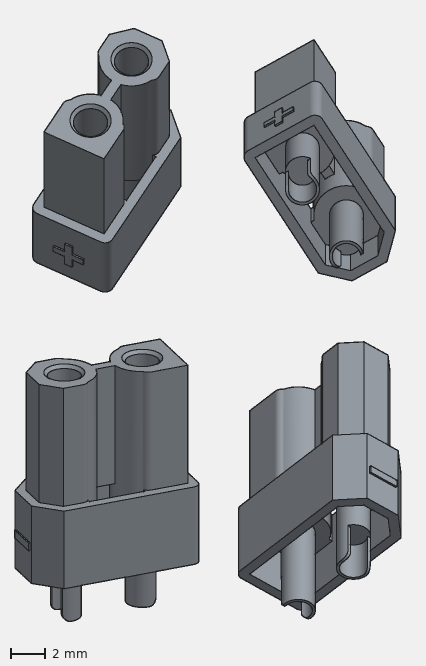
import cadquery as cq
import math

pin_length = 3.01
base_height = 4.99
total_height = 15.6
overall_length = 10.45
base_top = pin_length + base_height
tower_height = total_height - base_top

base_width = 5.25
base_length = 10.25
base_chamfer = 1.44
base_corner_radius = 0.51

tower_width = 4.01
tower_length = 9.05
tower_chamfer = 1.08
socket_spacing = 4.99
lobe_radius = 1.9
shoulder_start = 0.3
shoulder_radius = 0.5
neck_radius = 0.25
web_thickness = 0.64

gap_length = 3.57
lobe_depth = 2.0

socket_diameter = 2.0
socket_mouth_diameter = 2.4
socket_depth = tower_height

pin_diameter = 2.0
cup_diameter = 1.65
collar_height = 0.51
cup_wall_offset = 0.5
cup_corner_radius = 0.5

mark_height = (overall_length - base_length) / 2
mark_length = 2.0
mark_stroke = 0.5
mark_center = pin_length + 2.3

half_width = tower_width / 2
socket_y = socket_spacing / 2


def chamfered_block(width, length, chamfer, height):
    """Block centred on Z whose two +Y corners are cut at 45 degrees."""
    block = cq.Workplane("XY").box(width, length, height, centered=(True, True, False))
    return block.edges("|Z and >Y").chamfer(chamfer)


def point_at(center, radius, angle):
    """Point on a circle, with the angle counted from +X."""
    return (center[0] + radius * math.cos(angle), center[1] + radius * math.sin(angle))


def lobe_edge():
    """Ends and middles of the five arcs that round a lobe, from its +X side to its -X side.

    The socket axis is the origin and the other lobe lies towards +Y.
    """
    shoulder_center = (half_width - shoulder_radius, shoulder_start)
    lobe_to_neck = lobe_radius + neck_radius
    shoulder_to_neck = shoulder_radius + neck_radius
    lobe_to_shoulder = math.hypot(*shoulder_center)
    cosine = lobe_to_neck**2 + lobe_to_shoulder**2 - shoulder_to_neck**2
    cosine /= 2 * lobe_to_neck * lobe_to_shoulder
    neck_angle = math.atan2(shoulder_center[1], shoulder_center[0]) + math.acos(cosine)
    neck_center = point_at((0, 0), lobe_to_neck, neck_angle)
    shoulder_angle = math.atan2(neck_center[1] - shoulder_center[1], neck_center[0] - shoulder_center[0])

    right_half = [
        (half_width, shoulder_start),
        point_at(shoulder_center, shoulder_radius, shoulder_angle / 2),
        point_at(shoulder_center, shoulder_radius, shoulder_angle),
        point_at(neck_center, neck_radius, math.pi + (shoulder_angle + neck_angle) / 2),
        point_at((0, 0), lobe_radius, neck_angle),
    ]
    left_half = [(-x, y) for x, y in reversed(right_half)]
    return right_half + [(0, lobe_radius)] + left_half


def gap_between_lobes(height):
    """Prism of the space between the two lobes, across the full tower width."""
    lobe = lobe_edge()
    lower_edge = [(x, y - socket_y) for x, y in lobe]
    upper_edge = [(-x, -y) for x, y in lower_edge]
    outline = cq.Workplane("XY").moveTo(*upper_edge[-1])
    for edge in (lower_edge, upper_edge):
        outline = outline.lineTo(*edge[0])
        for middle, end in zip(edge[1::2], edge[2::2]):
            outline = outline.threePointArc(middle, end)
    return outline.close().extrude(height)


def make_base():
    block = chamfered_block(base_width, base_length, base_chamfer, base_height)
    block = block.edges("|Z and <Y").fillet(base_corner_radius)
    gap_limits = cq.Workplane("XY").box(
        tower_width, gap_length, base_height, centered=(True, True, False))
    hollow = chamfered_block(tower_width, tower_length, tower_chamfer, base_height - lobe_depth)
    gap = gap_between_lobes(base_height).intersect(gap_limits)
    return block.cut(gap).cut(hollow).translate((0, 0, pin_length))


def make_tower():
    tower = chamfered_block(tower_width, tower_length, tower_chamfer, tower_height)
    web = cq.Workplane("XY").box(
        web_thickness, socket_spacing, tower_height, centered=(True, True, False))
    tower = tower.cut(gap_between_lobes(tower_height)).union(web)
    return tower.translate((0, 0, base_top))


def make_socket():
    """Blind socket with a 45 degree lead-in, as a cutting body on the Z axis."""
    bore_radius = socket_diameter / 2
    mouth_radius = socket_mouth_diameter / 2
    lead_in = mouth_radius - bore_radius
    return (
        cq.Workplane("XZ")
        .moveTo(0, total_height - socket_depth)
        .lineTo(bore_radius, total_height - socket_depth)
        .lineTo(bore_radius, total_height - lead_in)
        .lineTo(mouth_radius, total_height)
        .lineTo(0, total_height)
        .close()
        .revolve(360, (0, 0), (0, 1))
    )


def make_pin():
    """Pin on the Z axis that ends in a solder cup, open towards +Y below its collar."""
    pin_radius = pin_diameter / 2
    cup_height = pin_length - collar_height
    kept_side = (
        cq.Workplane("XY")
        .box(pin_diameter, pin_radius + cup_wall_offset, cup_height, centered=(True, False, False))
        .translate((0, -pin_radius, 0))
        .edges("|X and >Y and <Z")
        .fillet(cup_corner_radius)
    )
    bore = cq.Workplane("XY").circle(cup_diameter / 2).extrude(cup_height)
    cup = cq.Workplane("XY").circle(pin_radius).extrude(cup_height).intersect(kept_side).cut(bore)
    shank = cq.Workplane("XY").workplane(offset=cup_height).circle(pin_radius).extrude(base_top - cup_height)
    return cup.union(shank)


def mark_bar(side, width, height):
    """Raised bar on the +Y (side 1) or -Y (side -1) end of the base."""
    y = side * (base_length + mark_height) / 2
    return cq.Workplane("XY").box(width, mark_height, height).translate((0, y, mark_center))


result = make_base().union(make_tower())
socket = make_socket()
pin = make_pin()
for side, pin_turn in ((1, 0), (-1, 180)):
    axis = (0, side * socket_y, 0)
    result = result.cut(socket.translate(axis))
    result = result.union(pin.rotate((0, 0, 0), (0, 0, 1), pin_turn).translate(axis))

result = result.union(mark_bar(1, mark_length, mark_stroke))
result = result.union(mark_bar(-1, mark_length, mark_stroke))
result = result.union(mark_bar(-1, mark_stroke, mark_length))